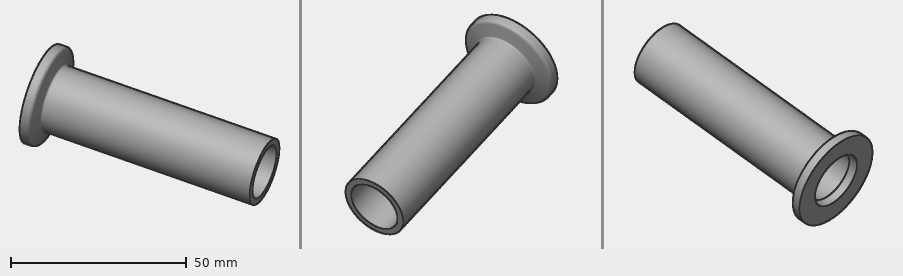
import cadquery as cq
import math

total_length = 70.0
flange_radius = 15.0
tube_radius = 10.0
bore_radius = 8.0

rim_width = 3.0
cone_angle = math.radians(15.0)
rim_round_radius = 1.0
neck_fillet_radius = 0.5

recess_radius = 8.6
recess_depth = 2.5
recess_fillet_radius = 0.3

cone_end_x = rim_width + (flange_radius - tube_radius) * math.tan(cone_angle)


def make_body():
    """Solid flange and tube revolved about the X axis, flange face at X = 0."""
    profile = (
        cq.Workplane("XY")
        .moveTo(0, 0)
        .lineTo(0, flange_radius)
        .lineTo(rim_width, flange_radius)
        .lineTo(cone_end_x, tube_radius)
        .lineTo(total_length, tube_radius)
        .lineTo(total_length, 0)
        .close()
    )
    return profile.revolve(360, (0, 0, 0), (1, 0, 0))


def circular_edge_at(body, x, radius):
    """Select the circular edge at the given X position and radius."""
    reach = 0.01
    near = (x - reach, -radius - reach, -radius - reach)
    far = (x + reach, radius + reach, radius + reach)
    return body.edges(cq.selectors.BoxSelector(near, far, boundingbox=True))


def round_flange_back(body):
    """Round the rim edge and fillet the corner where the cone meets the tube."""
    body = circular_edge_at(body, rim_width, flange_radius).fillet(rim_round_radius)
    return circular_edge_at(body, cone_end_x, tube_radius).fillet(neck_fillet_radius)


def make_bore():
    """Through bore."""
    return cq.Workplane("YZ").circle(bore_radius).extrude(total_length)


def make_recess():
    """Recess cutter with a rounded inner edge, leaving a fillet at the recess floor."""
    recess = cq.Workplane("YZ").circle(recess_radius).extrude(recess_depth)
    return recess.faces(">X").edges().fillet(recess_fillet_radius)


result = round_flange_back(make_body()).cut(make_bore()).cut(make_recess())